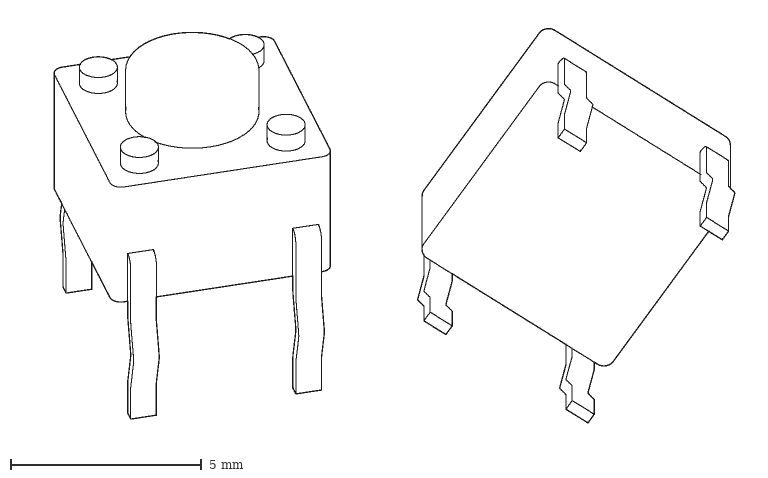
import cadquery as cq

body_side = 6.0
body_height = 3.6
corner_radius = 0.3
cover_thickness = 0.1

button_diameter = 3.5
button_height = 1.4
button_edge_radius = 0.1

peg_diameter = 1.0
peg_height = 0.5
peg_spacing = 4.0

leg_thickness = 0.3
leg_width = 0.7
leg_spacing = 4.5
leg_top = 1.5
leg_tip = -3.5
kink_depth = 0.3
kink_half_height = 1.0
kink_end_above_tip = 1.0
bend_radius = 0.3
bend_search_range = 0.1


def rounded_block(bottom, height):
    """Square block with the housing outline."""
    base = cq.Workplane("XY").workplane(offset=bottom)
    block = base.rect(body_side, body_side).extrude(height)
    return block.edges("|Z").fillet(corner_radius)


def make_housing():
    """Base block and the thin cover plate on it, kept as separate wall faces."""
    base_height = body_height - cover_thickness
    base = rounded_block(0, base_height)
    cover = rounded_block(base_height, cover_thickness)
    return base.union(cover, clean=False)


def make_button():
    """Push button with a rounded top edge."""
    base = cq.Workplane("XY").workplane(offset=body_height)
    button = base.circle(button_diameter / 2).extrude(button_height)
    return button.faces(">Z").edges().fillet(button_edge_radius)


def make_pegs():
    """Four pegs at the corners of a square."""
    return (
        cq.Workplane("XY")
        .workplane(offset=body_height)
        .rect(peg_spacing, peg_spacing, forConstruction=True)
        .vertices()
        .circle(peg_diameter / 2)
        .extrude(peg_height)
    )


def near_height(height):
    """Selector for anything centred at the given height."""
    reach = body_side
    lower = (-reach, -reach, height - bend_search_range)
    upper = (reach, reach, height + bend_search_range)
    return cq.selectors.BoxSelector(lower, upper)


def make_leg():
    """Leg on the +X side, centred on Y = 0, lying against the housing wall."""
    inner = body_side / 2
    outer = inner + leg_thickness
    kink_bottom = leg_tip + kink_end_above_tip
    kink_middle = kink_bottom + kink_half_height
    kink_top = kink_middle + kink_half_height
    leg = (
        cq.Workplane("XZ")
        .moveTo(inner, leg_tip)
        .lineTo(outer, leg_tip)
        .lineTo(outer, kink_bottom)
        .lineTo(outer + kink_depth, kink_middle)
        .lineTo(outer, kink_top)
        .lineTo(outer, leg_top - leg_thickness)
        .radiusArc((inner, leg_top), -leg_thickness)
        .lineTo(inner, kink_top)
        .lineTo(inner + kink_depth, kink_middle)
        .lineTo(inner, kink_bottom)
        .close()
        .extrude(leg_width / 2, both=True)
    )
    for bend_height in (kink_bottom, kink_middle, kink_top):
        leg = leg.edges("|Y").edges(near_height(bend_height)).fillet(bend_radius)
    return leg


def add_legs(part):
    """Place a leg at both Y positions and mirror the pair to the -X side."""
    for side in (-1, 1):
        leg = make_leg().translate((0, side * leg_spacing / 2, 0))
        part = part.union(leg, clean=False)
        part = part.union(leg.mirror("YZ"), clean=False)
    return part


housing = make_housing()
housing = housing.union(make_button(), clean=False)
housing = housing.union(make_pegs(), clean=False)
result = add_legs(housing)